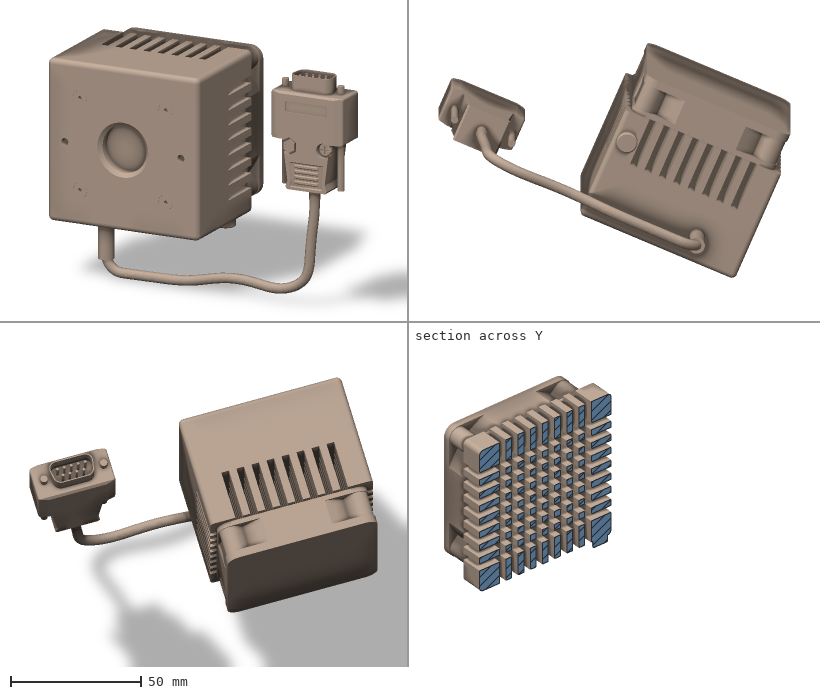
import cadquery as cq
import math


BODY_SIZE = 65.1
BODY_DEPTH = 45.0
BODY_FILLET = 2.0

SLOT_COUNT = 8
SLOT_WIDTH = 3.0
SLOT_DEPTH = 19.2
SLOT_SPAN = 42.1
SLOT_PITCH = SLOT_SPAN / (SLOT_COUNT - 1)

BEZEL_DIA = 59.9
LENS_PLATE_DIA = 40.0
BEZEL_DEPTH = 7.0
APERTURE_DIA = 19.0
APERTURE_DEPTH = 5.3
APERTURE_CHAMFER = 1.5
SCREW_OFFSET = 18.5
SCREW_BORE_DIA = 6.0
SCREW_HEAD_DIA = 5.9
SCREW_GAP_DEPTH = 2.5
SOCKET_DIA = 1.5
SOCKET_DEPTH = 1.3
PIN_HOLE_OFFSET = 25.0
PIN_HOLE_DIA = 3.0
PIN_HOLE_DEPTH = 2.5

FAN_SIZE = 60.0
FAN_DEPTH = 15.1
FAN_CORNER_RADIUS = 5
FAN_DUCT_DIA = 65.2
FAN_POST_DIA = 8.0
FAN_POST_OFFSET = 25.5
FAN_REAR_FLANGE = 3.1
FAN_FRONT_FLANGE = 1.9

KNOB_X = 27.1
KNOB_Y = 33.9
KNOB_DIA = 8.0
KNOB_LENGTH = 3.0
KNOB_CHAMFER = 0.5
GLAND_X = -12.3
GLAND_DIA = 6.4
GLAND_LENGTH = 15.0

CABLE_Y = 10
CABLE_DIA = 4.0
CABLE_LOW_Z = -52.5
ELBOW_RADIUS = 7.0

PLUG_X = 77.6
HOUSING_WIDTH = 30.9
HOUSING_DEPTH = 15.0
HOUSING_FLAT_WIDTH = 23.4
HOUSING_SIDE_DEPTH = 13.2
HOUSING_TOP_Z = 31.9
HOUSING_BOTTOM_Z = 13.0
HOUSING_FILLET = 0.9
LABEL_WIDTH = 18.0
LABEL_HEIGHT = 4.4
LABEL_Z = 26.1
LABEL_DEPTH = 0.4
LABEL_CORNER = 0.4

HOOD_TOP_HALF = 10.2
HOOD_WAIST_HALF = 8.0
HOOD_WAIST_Z = -3.4
HOOD_FLARE_HALF = 8.9
HOOD_FLARE_Z = -5.9
HOOD_BOTTOM_HALF = 8.2
HOOD_BOTTOM_Z = -6.9

GRIP_TOP_HALF = 7.4
GRIP_TOP_Z = 4.1
GRIP_WAIST_HALF = 6.7
GRIP_FLARE_HALF = 7.0
GRIP_FLARE_Z = -5.2
GRIP_BOTTOM_HALF = 6.7
GRIP_BOTTOM_Z = -5.8
GRIP_DEPTH = 0.4
GRIP_TAPER = 45
RIB_COUNT = 4
RIB_PITCH = 2.1
RIB_WIDTH = 10.4
RIB_HEIGHT = 1.5
RIB_TOP_Z = 2.6

FASTENER_X = 7.4
FASTENER_Z = 10.3
FASTENER_POCKET_DEPTH = 2.5
NUT_POCKET_FLATS = 6.3
NUT_FLATS = 4.6
NUT_BORE_DIA = 3.0
NUT_BORE_DEPTH = 0.3
CLAMP_POCKET_DIA = 6.0
CLAMP_HEAD_DIA = 5.3
CLAMP_HEAD_HEIGHT = 1.3
CLAMP_DOME = 0.8
CLAMP_SLOT_WIDTH = 0.8
CLAMP_SLOT_DEPTH = 0.6
CLAMP_CROSS_LENGTH = 3.0

SHROUD_DEPTH = 9.2
SHROUD_MEAN_WIDTH = 16.8
SHROUD_SIDE_ANGLE = 10
SHROUD_RADIUS = 3.0
SHROUD_WALL = 0.4
SHROUD_TOP_Z = 38.2
CONTACT_DIA = 1.0
CONTACT_TOP_Z = 37.7
CONTACT_PITCH = 2.8
CONTACT_ROW_GAP = 2.9

JACKSCREW_LEFT_X = -12.5
JACKSCREW_RIGHT_X = 11.3
JACKSCREW_DIA = 2.8
JACKSCREW_TOP_Z = 35.0
JACKSCREW_BOTTOM_Z = -6.9
SLEEVE_DIA = 4.3
SLEEVE_LENGTH = 5

BODY_HALF = BODY_SIZE / 2
PLUG_FRONT_Y = CABLE_Y - HOUSING_DEPTH / 2


def xz_sketch(y):
    """Sketch plane at the given Y; +X right, +Z up, extrudes toward -Y for positive lengths."""
    return cq.Workplane("XZ", origin=(0, y, 0))


def y_cylinder(dia, x, z, y_start, length):
    """Cylinder along +Y starting at y_start."""
    return xz_sketch(y_start).center(x, z).circle(dia / 2).extrude(-length)


def z_cylinder(dia, x, y, z_start, z_end):
    """Cylinder along Z between two heights."""
    return cq.Workplane("XY", origin=(x, y, z_start)).circle(dia / 2).extrude(z_end - z_start)


def mirrored_outline(right_side):
    """Closed outline from the points of its right half, listed from top (or rear) down."""
    left_side = [(-x, z) for x, z in reversed(right_side)]
    return right_side + left_side


def make_body():
    body = xz_sketch(0).rect(BODY_SIZE, BODY_SIZE).extrude(-BODY_DEPTH)
    body = body.edges("|Y or <Y").fillet(BODY_FILLET)
    for i in range(SLOT_COUNT):
        offset = (i - (SLOT_COUNT - 1) / 2) * SLOT_PITCH
        slot_y = BODY_DEPTH - SLOT_DEPTH / 2
        vertical = cq.Workplane("XY").box(SLOT_WIDTH, SLOT_DEPTH, BODY_SIZE).translate((offset, slot_y, 0))
        level = cq.Workplane("XY").box(BODY_SIZE, SLOT_DEPTH, SLOT_WIDTH).translate((0, slot_y, offset))
        body = body.cut(vertical).cut(level)
    return body


def cut_bezel_features(body):
    mouth_radius = APERTURE_DIA / 2 + APERTURE_CHAMFER
    aperture = (
        cq.Workplane("XY")
        .moveTo(0, 0)
        .lineTo(mouth_radius, 0)
        .lineTo(APERTURE_DIA / 2, APERTURE_CHAMFER)
        .lineTo(APERTURE_DIA / 2, APERTURE_DEPTH)
        .lineTo(0, APERTURE_DEPTH)
        .close()
        .revolve(360, (0, 0, 0), (0, 1, 0))
    )
    body = body.cut(aperture)
    for x in (-PIN_HOLE_OFFSET, PIN_HOLE_OFFSET):
        body = body.cut(y_cylinder(PIN_HOLE_DIA, x, 0, 0, PIN_HOLE_DEPTH))
    for x in (-SCREW_OFFSET, SCREW_OFFSET):
        for z in (-SCREW_OFFSET, SCREW_OFFSET):
            gap = y_cylinder(SCREW_BORE_DIA, x, z, 0, SCREW_GAP_DEPTH)
            gap = gap.cut(y_cylinder(SCREW_HEAD_DIA, x, z, 0, SCREW_GAP_DEPTH))
            body = body.cut(gap).cut(y_cylinder(SOCKET_DIA, x, z, 0, SOCKET_DEPTH))
    return body


def make_fan():
    def plate(y_start, length):
        square = xz_sketch(y_start).rect(FAN_SIZE, FAN_SIZE).extrude(-length)
        return square.edges("|Y").fillet(FAN_CORNER_RADIUS)

    core_y = BODY_DEPTH + FAN_FRONT_FLANGE
    rear_y = BODY_DEPTH + FAN_DEPTH - FAN_REAR_FLANGE
    core_length = rear_y - core_y
    core = xz_sketch(core_y).rect(FAN_SIZE, FAN_SIZE).extrude(-core_length)
    core = core.intersect(y_cylinder(FAN_DUCT_DIA, 0, 0, core_y, core_length))
    post_spacing = 2 * FAN_POST_OFFSET * math.sqrt(2)
    for angle in (45, -45):
        web = xz_sketch(core_y).slot2D(post_spacing + FAN_POST_DIA, FAN_POST_DIA).extrude(-core_length)
        core = core.union(web.rotate((0, 0, 0), (0, 1, 0), angle))
    return core.union(plate(BODY_DEPTH, FAN_FRONT_FLANGE)).union(plate(rear_y, FAN_REAR_FLANGE))


def make_knob():
    knob = z_cylinder(KNOB_DIA, KNOB_X, KNOB_Y, -BODY_HALF, -BODY_HALF - KNOB_LENGTH)
    return knob.faces("<Z").edges().chamfer(KNOB_CHAMFER)


def make_cable():
    gland = z_cylinder(GLAND_DIA, GLAND_X, CABLE_Y, -BODY_HALF, -BODY_HALF - GLAND_LENGTH)
    sleeve_end_z = HOOD_BOTTOM_Z - SLEEVE_LENGTH
    sleeve = z_cylinder(SLEEVE_DIA, PLUG_X, CABLE_Y, HOOD_BOTTOM_Z, sleeve_end_z)
    elbow_shift = ELBOW_RADIUS * (1 - math.sqrt(0.5))
    elbow_start = (GLAND_X, CABLE_LOW_Z + ELBOW_RADIUS)
    elbow_middle = (GLAND_X + elbow_shift, CABLE_LOW_Z + elbow_shift)
    elbow_end = (GLAND_X + ELBOW_RADIUS, CABLE_LOW_Z)
    bends = [
        (9.4, -52.4),
        (23.9, -51.6),
        (37.0, -48.9),
        (44.6, -48.2),
        (51.5, -48.7),
        (62.8, -49.6),
        (73.6, -43.7),
        (75.6, -34.3),
        (76.5, -25.1),
    ]
    path = (
        xz_sketch(CABLE_Y)
        .moveTo(*elbow_start)
        .threePointArc(elbow_middle, elbow_end)
        .spline(bends + [(PLUG_X, sleeve_end_z)], tangents=[(1, 0), (0, 1)], includeCurrent=True)
    )
    start_plane = cq.Workplane("XY", origin=(GLAND_X, CABLE_Y, elbow_start[1]))
    cable = start_plane.circle(CABLE_DIA / 2).sweep(path)
    return gland.union(cable).union(sleeve)


def make_housing():
    half_depth = HOUSING_DEPTH / 2
    right_side = [
        (HOUSING_FLAT_WIDTH / 2, half_depth),
        (HOUSING_WIDTH / 2, HOUSING_SIDE_DEPTH / 2),
        (HOUSING_WIDTH / 2, -HOUSING_SIDE_DEPTH / 2),
        (HOUSING_FLAT_WIDTH / 2, -half_depth),
    ]
    height = HOUSING_TOP_Z - HOUSING_BOTTOM_Z
    base = cq.Workplane("XY", origin=(0, CABLE_Y, HOUSING_BOTTOM_Z))
    housing = base.rect(HOUSING_WIDTH, HOUSING_DEPTH).extrude(height)
    housing = housing.edges(">Z and |X").chamfer(HOUSING_FILLET)
    housing = housing.intersect(base.polyline(mirrored_outline(right_side)).close().extrude(height))
    housing = housing.faces("<X or >X").edges().fillet(HOUSING_FILLET)
    label = xz_sketch(PLUG_FRONT_Y).center(0, LABEL_Z).rect(LABEL_WIDTH, LABEL_HEIGHT).extrude(-LABEL_DEPTH)
    label = label.edges("|Y").fillet(LABEL_CORNER)
    return housing.cut(label)


def make_hood():
    right_side = [
        (HOOD_TOP_HALF, HOUSING_BOTTOM_Z),
        (HOOD_WAIST_HALF, HOOD_WAIST_Z),
        (HOOD_FLARE_HALF, HOOD_FLARE_Z),
        (HOOD_BOTTOM_HALF, HOOD_BOTTOM_Z),
    ]
    return xz_sketch(PLUG_FRONT_Y).polyline(mirrored_outline(right_side)).close().extrude(-HOUSING_DEPTH)


def add_grip(plug):
    right_side = [
        (GRIP_TOP_HALF, GRIP_TOP_Z),
        (GRIP_WAIST_HALF, HOOD_WAIST_Z),
        (GRIP_FLARE_HALF, GRIP_FLARE_Z),
        (GRIP_BOTTOM_HALF, GRIP_BOTTOM_Z),
    ]
    outline = xz_sketch(PLUG_FRONT_Y).polyline(mirrored_outline(right_side)).close()
    plug = plug.cut(outline.extrude(-GRIP_DEPTH, taper=GRIP_TAPER))
    for i in range(RIB_COUNT):
        rib_floor = xz_sketch(PLUG_FRONT_Y + GRIP_DEPTH).center(0, RIB_TOP_Z - i * RIB_PITCH)
        plug = plug.union(rib_floor.rect(RIB_WIDTH, RIB_HEIGHT).extrude(GRIP_DEPTH, taper=GRIP_TAPER))
    return plug


def hex_prism(flats, y_start, length):
    """Hexagonal prism along +Y with corners up and down, placed at the nut."""
    prism = xz_sketch(y_start).polygon(6, flats / math.cos(math.pi / 6)).extrude(-length)
    return prism.rotate((0, 0, 0), (0, 1, 0), 30).translate((-FASTENER_X, 0, FASTENER_Z))


def add_clamp_nut(plug):
    nut = hex_prism(NUT_FLATS, PLUG_FRONT_Y, FASTENER_POCKET_DEPTH)
    nut = nut.cut(y_cylinder(NUT_BORE_DIA, -FASTENER_X, FASTENER_Z, PLUG_FRONT_Y, NUT_BORE_DEPTH))
    return plug.cut(hex_prism(NUT_POCKET_FLATS, PLUG_FRONT_Y, FASTENER_POCKET_DEPTH)).union(nut)


def add_clamp_screw(plug):
    pocket = y_cylinder(CLAMP_POCKET_DIA, FASTENER_X, FASTENER_Z, PLUG_FRONT_Y, FASTENER_POCKET_DEPTH)
    head_y = PLUG_FRONT_Y + FASTENER_POCKET_DEPTH - CLAMP_HEAD_HEIGHT
    head = y_cylinder(CLAMP_HEAD_DIA, FASTENER_X, FASTENER_Z, head_y, CLAMP_HEAD_HEIGHT)
    head = head.faces("<Y").edges().fillet(CLAMP_DOME)
    slots = ((CLAMP_HEAD_DIA, CLAMP_SLOT_WIDTH), (CLAMP_SLOT_WIDTH, CLAMP_CROSS_LENGTH))
    for width, height in slots:
        slot = xz_sketch(head_y).center(FASTENER_X, FASTENER_Z).rect(width, height)
        head = head.cut(slot.extrude(-CLAMP_SLOT_DEPTH))
    return plug.cut(pocket).union(head)


def make_shroud():
    def d_prism(inset):
        half_depth = SHROUD_DEPTH / 2
        lean = half_depth * math.tan(math.radians(SHROUD_SIDE_ANGLE))
        narrow = SHROUD_MEAN_WIDTH / 2 - lean
        wide = SHROUD_MEAN_WIDTH / 2 + lean
        prism = (
            cq.Workplane("XY", origin=(0, CABLE_Y, HOUSING_TOP_Z))
            .polyline(mirrored_outline([(narrow, half_depth), (wide, -half_depth)]))
            .close()
            .offset2D(-inset)
            .extrude(SHROUD_TOP_Z - HOUSING_TOP_Z)
        )
        return prism.edges("|Z").fillet(SHROUD_RADIUS - inset)

    return d_prism(0).cut(d_prism(SHROUD_WALL))


def add_contacts(plug):
    for count, row_y in ((4, CONTACT_ROW_GAP / 2), (5, -CONTACT_ROW_GAP / 2)):
        for i in range(count):
            x = (i - (count - 1) / 2) * CONTACT_PITCH
            plug = plug.union(z_cylinder(CONTACT_DIA, x, CABLE_Y + row_y, HOUSING_TOP_Z, CONTACT_TOP_Z))
    return plug


def make_plug():
    plug = make_housing().union(make_hood())
    plug = add_grip(plug)
    plug = add_clamp_nut(plug)
    plug = add_clamp_screw(plug)
    plug = plug.union(make_shroud())
    plug = add_contacts(plug)
    for x in (JACKSCREW_LEFT_X, JACKSCREW_RIGHT_X):
        plug = plug.union(z_cylinder(JACKSCREW_DIA, x, CABLE_Y, JACKSCREW_BOTTOM_Z, JACKSCREW_TOP_Z))
    return plug.translate((PLUG_X, 0, 0))


def seam_front_discs(part):
    """Rejoin the lens plate and bezel flush, keeping their circular seams on the front face."""
    for dia in (BEZEL_DIA, LENS_PLATE_DIA):
        disc = y_cylinder(dia, 0, 0, 0, BEZEL_DEPTH)
        part = part.cut(disc, clean=False).union(part.intersect(disc, clean=False), clean=False)
    return part


body = cut_bezel_features(make_body())
assembled = body.union(make_fan()).union(make_knob()).union(make_cable()).union(make_plug())
result = seam_front_discs(assembled)